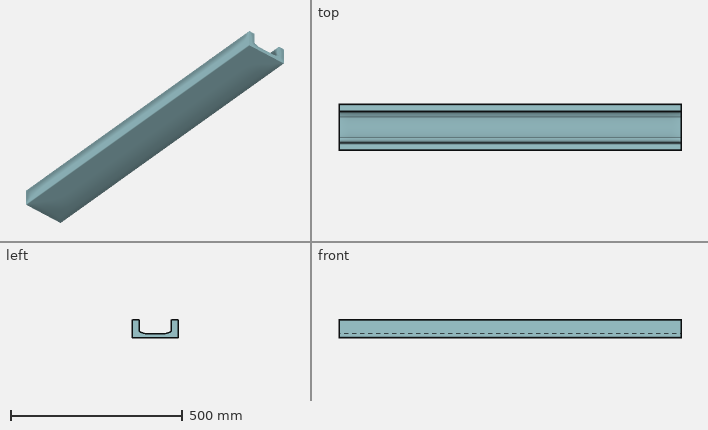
import cadquery as cq

length = 1000.0
width = 135.4
height = 53.0

wall_thickness = 21.4
floor_thickness = 12.5
floor_flat_width = 59.0
ramp_rise = 5.4

edge_radius = 3.0
foot_radius = 4.0

pick_distance = 0.1

half_width = width / 2
half_gap = half_width - wall_thickness
half_floor = floor_flat_width / 2
ramp_top = floor_thickness + ramp_rise


def channel_body():
    """U-shaped section with sloped ramps between the floor and the walls."""
    section = [
        (-half_width, 0),
        (half_width, 0),
        (half_width, height),
        (half_gap, height),
        (half_gap, ramp_top),
        (half_floor, floor_thickness),
        (-half_floor, floor_thickness),
        (-half_gap, ramp_top),
        (-half_gap, height),
        (-half_width, height),
    ]
    return cq.Workplane("YZ").polyline(section).close().extrude(length)


def round_corners(body, corners, radius):
    """Fillet the lengthwise edges at the (y, z) corners, on both sides of the channel."""
    picked = []
    for edge in body.edges("|X").vals():
        middle = edge.Center()
        for y, z in corners:
            offset = cq.Vector(0, abs(middle.y) - y, middle.z - z)
            if offset.Length < pick_distance:
                picked.append(edge)
    return body.newObject(picked).fillet(radius)


outer_corners = [(half_width, 0), (half_width, height), (half_gap, height)]
wall_feet = [(half_gap, ramp_top)]

channel = channel_body()
channel = round_corners(channel, outer_corners, edge_radius)
result = round_corners(channel, wall_feet, foot_radius)